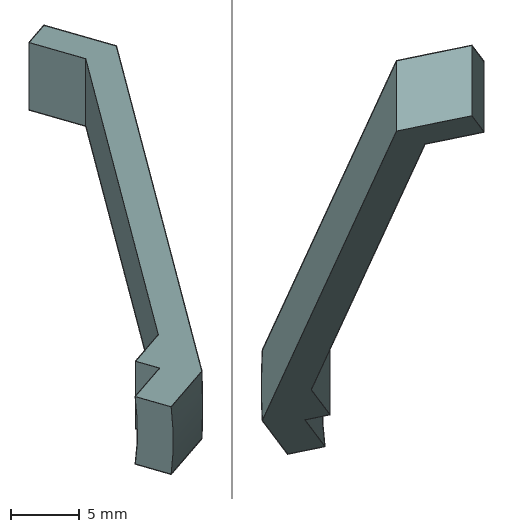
import cadquery as cq
import math

overall_length = 39.0
overall_width = 29.83
height = 6.0

bar_thickness = 2.45
bar_angle = math.radians(55)
tab_outer_length = 5.88

shoulder_x = 24.78
tongue_length = 4.0
tongue_thickness = 2.9
tongue_outer_radius = 26.5

bar_slope = math.tan(bar_angle)
tab_inner_length = tab_outer_length - bar_thickness * math.tan(bar_angle / 2)
tab_inner_y = overall_length - bar_thickness
shoulder_top_y = tab_inner_y - (shoulder_x - tab_inner_length) * bar_slope
bar_end_y = overall_length - (overall_width - tab_outer_length) * bar_slope
tongue_inner_radius = tongue_outer_radius - tongue_thickness
bow_axis_x = overall_width - tongue_outer_radius


def bow_cylinder(radius):
    """Cylinder along Y, on the axis shared by both bowed tongue faces."""
    return (
        cq.Workplane("XZ", origin=(bow_axis_x, 0, 0))
        .circle(radius)
        .extrude(-overall_length)
    )


def make_strip():
    """Tab, sloping bar and foot as one plain extrusion."""
    outline = [
        (0, overall_length),
        (tab_outer_length, overall_length),
        (overall_width, bar_end_y),
        (overall_width, 0),
        (shoulder_x, 0),
        (shoulder_x, shoulder_top_y),
        (tab_inner_length, tab_inner_y),
        (0, tab_inner_y),
    ]
    return cq.Workplane("XY").polyline(outline).close().extrude(height / 2, both=True)


def make_tongue_relief():
    """Material inside the tongue's hollow face, below the shoulder."""
    below_shoulder = cq.Workplane("XY").box(
        overall_width, tongue_length, height, centered=(False, False, True)
    )
    return bow_cylinder(tongue_inner_radius).intersect(below_shoulder)


result = (
    make_strip()
    .intersect(bow_cylinder(tongue_outer_radius))
    .cut(make_tongue_relief())
)